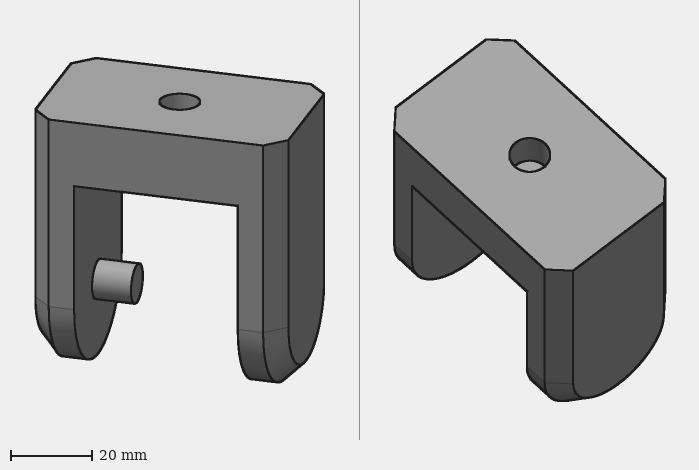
import cadquery as cq

length = 65.0
width = 40.0
height = 70.0

gap = 42.0
bridge_thickness = 17.0
edge_chamfer = 5.0
end_radius = width / 2
pivot_height = end_radius

pin_diameter = 10.0
pin_length = 10.0
hole_diameter = 10.0
hole_depth = 10.0


def make_body():
    """Round-ended block along X, chamfered around both end faces except at the top."""
    block = (
        cq.Workplane("YZ")
        .workplane(offset=-length / 2)
        .moveTo(-end_radius, height)
        .lineTo(-end_radius, pivot_height)
        .threePointArc((0, 0), (end_radius, pivot_height))
        .lineTo(end_radius, height)
        .close()
        .extrude(length)
    )
    return block.faces("<X or >X").edges("not >Z").chamfer(edge_chamfer)


def make_slot():
    """Open space between the two arms, below the bridge."""
    slot_height = height - bridge_thickness
    return cq.Workplane("XY").box(gap, width, slot_height, centered=(True, True, False))


def make_pin():
    """Round pin pointing inward, concentric with the rounded arm end."""
    return (
        cq.Workplane("YZ")
        .workplane(offset=-gap / 2)
        .center(0, pivot_height)
        .circle(pin_diameter / 2)
        .extrude(pin_length)
    )


def make_hole():
    """Blind hole going down from the middle of the top face."""
    return cq.Workplane("XY").workplane(offset=height).circle(hole_diameter / 2).extrude(-hole_depth)


result = make_body().cut(make_slot()).union(make_pin()).cut(make_hole())